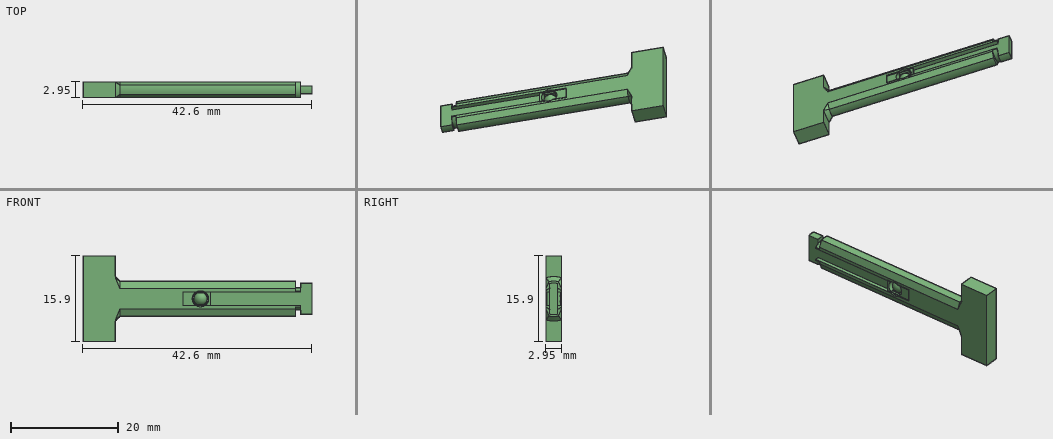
import cadquery as cq
import math

length = 42.55
thickness = 2.95
half_thickness = thickness / 2

block_length = 6.0
block_height = 15.9

shaft_end = 39.5
shaft_diameter = 6.6
shaft_radius = shaft_diameter / 2
side_half_height = 1.87
bevel_top_y = 0.85
flare_length = 0.85

head_start = 40.4
neck_radius = 2.1
head_radius = 2.95
head_thickness = 1.5

groove_start = 18.5
groove_step = 23.65
groove_width = 2.45
shallow_depth = 0.2
deep_depth = (thickness - head_thickness) / 2

window_x = 21.8
window_diameter = 3.0
ball_radius = 1.28
bridge_inner_z = 1.05
bridge_flat_half_width = 0.85
bridge_half_width = 1.1


def box_between(x_start, x_end, y_size, z_size):
    """Box centred on the X axis between two X positions."""
    return cq.Workplane("XY").box(x_end - x_start, y_size, z_size).translate(((x_start + x_end) / 2, 0, 0))


def flat_sided_bar(x_start, x_end, radius, y_size):
    """Round bar along X, trimmed to a given thickness."""
    bar = cq.Workplane("YZ", origin=(x_start, 0, 0)).circle(radius).extrude(x_end - x_start)
    return bar.intersect(box_between(x_start, x_end, y_size, 2 * radius))


bevel_top_z = math.sqrt(shaft_radius**2 - bevel_top_y**2)
bevel_rise = bevel_top_z - side_half_height
bevel_run = half_thickness - bevel_top_y
diamond_z = bevel_top_z + bevel_top_y * bevel_rise / bevel_run
diamond_y = diamond_z * bevel_run / bevel_rise
bevel_distance = diamond_y * diamond_z / math.hypot(diamond_y, diamond_z)
flare_growth = (bevel_distance + flare_length) / bevel_distance


def diamond_points(scale):
    y = diamond_y * scale
    z = diamond_z * scale
    return [(y, 0), (0, z), (-y, 0), (0, -z)]


def make_shaft():
    bar = flat_sided_bar(block_length, shaft_end, shaft_radius, thickness)
    diamond = (
        cq.Workplane("YZ", origin=(block_length, 0, 0))
        .polyline(diamond_points(1))
        .close()
        .extrude(shaft_end - block_length)
    )
    return bar.intersect(diamond)


def make_flare():
    """Round and bevelled faces all lean outward at 45 degrees toward the block."""
    start = cq.Workplane("YZ", origin=(block_length, 0, 0))
    wide_radius = shaft_radius + flare_length
    cone = start.circle(wide_radius).workplane(offset=flare_length).circle(shaft_radius).loft()
    diamond = (
        start.polyline(diamond_points(flare_growth)).close()
        .workplane(offset=flare_length)
        .polyline(diamond_points(1)).close()
        .loft(ruled=True)
    )
    sides = box_between(block_length, block_length + flare_length, thickness, 2 * wide_radius)
    return cone.intersect(diamond).intersect(sides)


def cut_groove(body, x_start, x_end, depth):
    """Cut the same groove into the two flat sides."""
    for side in (-1, 1):
        floor_to_face = box_between(x_start, x_end, depth, groove_width)
        body = body.cut(floor_to_face.translate((0, side * (half_thickness - depth / 2), 0)))
    return body


def make_window():
    radius = window_diameter / 2
    return (
        cq.Workplane("XZ", origin=(window_x, 0, 0))
        .circle(radius)
        .extrude(half_thickness, both=True)
    )


def make_bridges():
    """Two bridges filling the top and bottom of the window, with sloped edges."""
    radius = window_diameter / 2
    profile = [
        (-bridge_half_width, radius),
        (-bridge_half_width, groove_width / 2),
        (-bridge_flat_half_width, bridge_inner_z),
        (bridge_flat_half_width, bridge_inner_z),
        (bridge_half_width, groove_width / 2),
        (bridge_half_width, radius),
    ]
    upper = cq.Workplane("YZ", origin=(window_x, 0, 0)).polyline(profile).close().extrude(radius, both=True)
    return upper.union(upper.mirror("XY")).intersect(make_window())


block = box_between(0, block_length, thickness, block_height)
neck = flat_sided_bar(shaft_end, head_start, neck_radius, thickness)
head = flat_sided_bar(head_start, length, head_radius, head_thickness)
body = block.union(make_shaft()).union(make_flare()).union(neck).union(head)

body = cut_groove(body, groove_start, groove_step, shallow_depth)
body = cut_groove(body, groove_step, head_start, deep_depth)

ball = cq.Workplane("XZ").sphere(ball_radius).translate((window_x, 0, 0))
result = body.cut(make_window()).union(make_bridges()).union(ball)